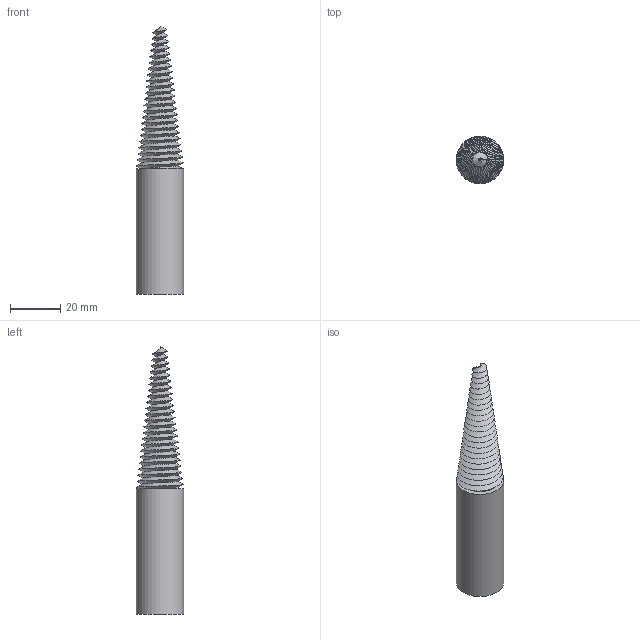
import cadquery as cq
import math

shank_diameter = 19.0
shank_length = 50.0

overall_length = 107.19
turns = 23
tip_crest_radius = 2.75
tip_flank_radius = 0.35
flank_angle = 30.0
root_depth = 1.9
root_overlap = 0.05

shank_radius = shank_diameter / 2
upper_flank_depth = tip_crest_radius - tip_flank_radius
lower_flank_depth = root_depth + root_overlap
flank_slope = math.tan(math.radians(flank_angle))
upper_flank_rise = upper_flank_depth * flank_slope
lower_flank_drop = lower_flank_depth * flank_slope
thread_height = overall_length - shank_length - upper_flank_rise
pitch = thread_height / turns
radius_step = (shank_radius - tip_crest_radius) / turns
taper_angle = math.degrees(math.atan2(radius_step, pitch))


def helix_turn(radius, start_z):
    """One turn of a helix that narrows upwards parallel to the crest cone."""
    slant_pitch = pitch / math.cos(math.radians(taper_angle))
    return cq.Wire.makeHelix(
        slant_pitch, slant_pitch, radius, cq.Vector(0, 0, start_z), angle=-taper_angle
    ).Edges()[0]


def thread_turn_edges(turn):
    """Crest, upper root and lower root edges of one turn, counted from the shank."""
    crest_radius = shank_radius - turn * radius_step
    crest_z = shank_length + turn * pitch
    return [
        helix_turn(crest_radius, crest_z),
        helix_turn(crest_radius - upper_flank_depth, crest_z + upper_flank_rise),
        helix_turn(crest_radius - lower_flank_depth, crest_z - lower_flank_drop),
    ]


def triangle_face(points):
    return cq.Face.makeFromWires(cq.Wire.makePolygon(points, close=True))


def make_shank():
    return cq.Workplane("XY").circle(shank_radius).extrude(shank_length)


def make_core():
    """Cone under the thread, parallel to the crest cone, with a small nib closing the tip."""
    thread_top = shank_length + thread_height
    core_top = thread_top - lower_flank_drop
    core_base_radius = shank_radius - root_depth
    core_top_radius = tip_crest_radius - root_depth + lower_flank_drop * radius_step / pitch
    profile = [
        (0, shank_length),
        (core_base_radius, shank_length),
        (core_top_radius, core_top),
        (tip_flank_radius, thread_top),
        (0, thread_top),
    ]
    return cq.Workplane("XZ").polyline(profile).close().revolve(360, (0, 0), (0, 1))


def make_thread():
    """Triangular ridge bounded by three helical sides and a flat face at each end."""
    turn_edges = [thread_turn_edges(turn) for turn in range(turns)]
    faces = [
        triangle_face([edge.startPoint() for edge in turn_edges[0]]),
        triangle_face([edge.endPoint() for edge in turn_edges[-1]]),
    ]
    for edges in turn_edges:
        for side in range(len(edges)):
            faces.append(cq.Face.makeRuledSurface(edges[side - 1], edges[side]))
    return cq.Workplane(cq.Solid.makeSolid(cq.Shell.makeShell(faces)))


result = make_shank().union(make_core()).union(make_thread()).solids()